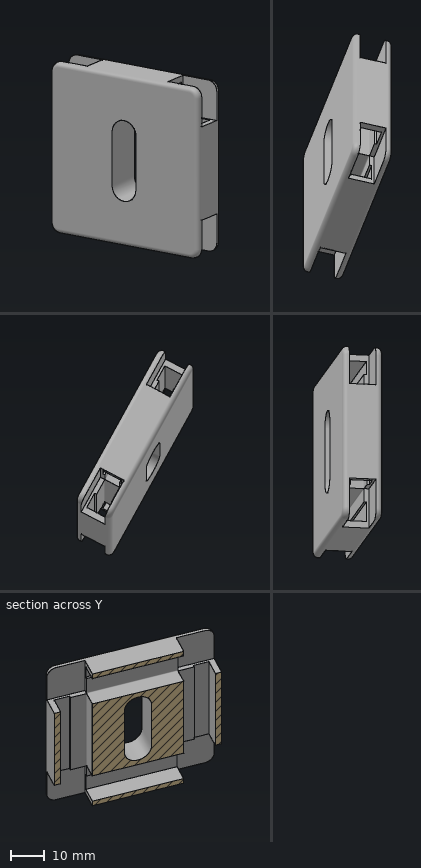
import cadquery as cq

side = 53.0
thickness = 12.0
plate_thickness = 2.0
corner_radius = 3.0
edge_round = 1.5
notch_size = 12.05
rim_wall = 2.0
top_step_depth = 6.0
side_step_depth = 6.9
bottom_step_depth = 7.95
channel_wide = 6.35
channel_narrow = 5.0
channel_floor_round = 0.3
slot_width = 8.5
slot_length = 25.0

half_side = side / 2
core_thickness = thickness - 2 * plate_thickness


def square_plate(outer_face):
    """Plate with rounded corners, its outer rim rounded over on the given Y side."""
    plate = cq.Workplane("XY").box(side, plate_thickness, side)
    plate = plate.edges("|Y").fillet(corner_radius)
    return plate.faces(outer_face).edges().fillet(edge_round)


def stepped_channel(step_depth):
    """Cutter for one channel running along X beside the +Z side."""
    wide_height = step_depth - rim_wall
    wide_part = cq.Workplane("XY").box(side, channel_wide, wide_height).translate(
        (0, 0, half_side - rim_wall - wide_height / 2)
    )
    narrow_height = notch_size - step_depth
    narrow_part = (
        cq.Workplane("XY")
        .box(side, channel_narrow, narrow_height)
        .edges("|X and <Z")
        .fillet(channel_floor_round)
        .translate((0, 0, half_side - step_depth - narrow_height / 2))
    )
    return wide_part.union(narrow_part)


arm_width = side - 2 * notch_size
core = cq.Workplane("XY").box(side, core_thickness, arm_width)
core = core.union(cq.Workplane("XY").box(arm_width, core_thickness, side))

channel_layout = (
    (0, top_step_depth),
    (90, side_step_depth),
    (180, bottom_step_depth),
    (270, side_step_depth),
)
for angle, step_depth in channel_layout:
    channel = stepped_channel(step_depth)
    core = core.cut(channel.rotate((0, 0, 0), (0, 1, 0), angle))

plate_offset = (thickness - plate_thickness) / 2
front_plate = square_plate("<Y").translate((0, -plate_offset, 0))
back_plate = square_plate(">Y").translate((0, plate_offset, 0))

slot = (
    cq.Workplane("XZ")
    .slot2D(slot_length, slot_width, 90)
    .extrude(thickness / 2, both=True)
)

result = core.union(front_plate).union(back_plate).cut(slot)